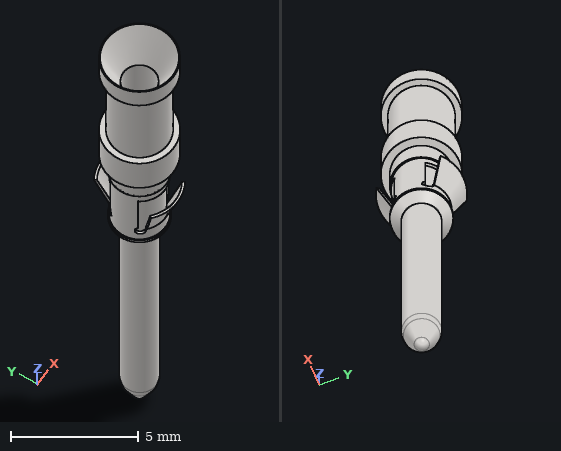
import cadquery as cq
import math

total_length = 25.0
collar_radius = 1.6
barrel_radius = 1.32
shoulder_radius = 1.25
sleeve_radius = 1.2
sleeve_thickness = 0.12
core_radius = sleeve_radius - sleeve_thickness
pin_radius = 0.8

tip_round_top = 0.2
tip_round_radius = 0.3
tip_cone_top = 1.1
tip_cone_radius = 0.72
tip_top = 1.48
sleeve_cone_bottom = 12.98
sleeve_rim_bottom = 13.3
sleeve_rim_top = 13.45
shoulder_bottom = 16.7
collar_bottom = 17.9
collar_top = 19.7
head_height = 1.0

mouth_radius = 1.55
mouth_depth = 1.75
bore_radius = 0.75
bore_bottom = collar_top
drill_point_angle = 118.0

window_bottom = 14.15
window_top = 16.25
window_half_angle = 54.5
tang_bottom = window_bottom
tang_top = 15.88
tang_tip_radius = 1.8
tang_half_angle = 37.0
relief_radius = 0.22
relief_height = 14.08
relief_angle = 50.0
tang_directions = (264.5, 84.5)
root_overlap = 0.02
cutter_inner_radius = 0.88


def revolve_sector(points, center_angle, half_angle):
    """Revolve an (r, z) outline about Z through a sector around center_angle."""
    sector = cq.Workplane("XZ").polyline(points).close()
    sector = sector.revolve(2 * half_angle, (0, 0, 0), (0, 1, 0))
    return sector.rotate((0, 0, 0), (0, 0, 1), center_angle - half_angle)


def make_body():
    nose_radius = (tip_round_radius**2 + tip_round_top**2) / (2 * tip_round_top)
    nose_mid_angle = math.asin(tip_round_radius / nose_radius) / 2
    head_bottom = total_length - head_height
    return (
        cq.Workplane("XZ")
        .moveTo(0, 0)
        .threePointArc(
            (nose_radius * math.sin(nose_mid_angle), nose_radius * (1 - math.cos(nose_mid_angle))),
            (tip_round_radius, tip_round_top),
        )
        .lineTo(tip_cone_radius, tip_cone_top)
        .lineTo(pin_radius, tip_top)
        .lineTo(pin_radius, sleeve_cone_bottom)
        .lineTo(shoulder_radius, sleeve_rim_bottom)
        .lineTo(shoulder_radius, sleeve_rim_top)
        .lineTo(core_radius, sleeve_rim_top)
        .lineTo(core_radius, shoulder_bottom)
        .lineTo(shoulder_radius, shoulder_bottom)
        .lineTo(shoulder_radius, collar_bottom)
        .lineTo(collar_radius, collar_bottom)
        .lineTo(collar_radius, collar_top)
        .lineTo(barrel_radius, collar_top)
        .lineTo(barrel_radius, head_bottom)
        .lineTo(collar_radius, head_bottom)
        .lineTo(collar_radius, total_length)
        .lineTo(0, total_length)
        .close()
        .revolve(360, (0, 0, 0), (0, 1, 0))
    )


def make_wire_hole():
    point_depth = bore_radius / math.tan(math.radians(drill_point_angle / 2))
    outline = [
        (0, bore_bottom - point_depth),
        (bore_radius, bore_bottom),
        (bore_radius, total_length - mouth_depth),
        (mouth_radius, total_length),
        (0, total_length),
    ]
    return cq.Workplane("XZ").polyline(outline).close().revolve(360, (0, 0, 0), (0, 1, 0))


def make_window_cutter(direction):
    """Opening through the sleeve with a round relief at each lower corner."""
    outline = [
        (cutter_inner_radius, window_bottom),
        (collar_radius, window_bottom),
        (collar_radius, window_top),
        (cutter_inner_radius, window_top),
    ]
    cutter = revolve_sector(outline, direction, window_half_angle)
    for side in (-1, 1):
        relief = (
            cq.Workplane("YZ", origin=(cutter_inner_radius, 0, relief_height))
            .circle(relief_radius)
            .extrude(collar_radius - cutter_inner_radius)
            .rotate((0, 0, 0), (0, 0, 1), direction + side * relief_angle)
        )
        cutter = cutter.union(relief)
    return cutter


def make_sleeve():
    """Thin tube around the core, opened by one window per tang."""
    sleeve = (
        cq.Workplane("XY", origin=(0, 0, sleeve_rim_top))
        .circle(sleeve_radius)
        .circle(core_radius)
        .extrude(shoulder_bottom - sleeve_rim_top)
    )
    for direction in tang_directions:
        sleeve = sleeve.cut(make_window_cutter(direction))
    return sleeve


def make_tang(direction):
    """Curved tongue flaring outward from the lower edge of its window."""
    root_inner = core_radius - root_overlap
    root_bottom = tang_bottom - root_overlap
    outline = [
        (root_inner, root_bottom),
        (sleeve_radius, root_bottom),
        (sleeve_radius, tang_bottom),
        (tang_tip_radius, tang_top),
        (tang_tip_radius - sleeve_thickness, tang_top),
        (root_inner, tang_bottom),
    ]
    return revolve_sector(outline, direction, tang_half_angle)


result = make_body().cut(make_wire_hole()).union(make_sleeve())
for tang_direction in tang_directions:
    result = result.union(make_tang(tang_direction))